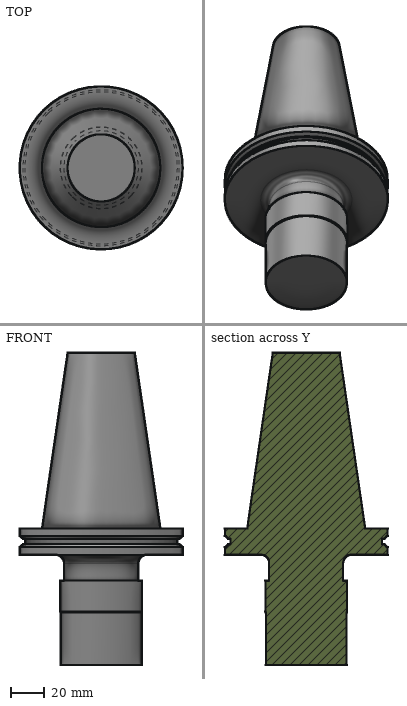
import cadquery as cq
import math

GAUGE_DIAMETER = 69.85
TAPER_RATIO = 7 / 24
TAPER_LENGTH = 101.75

FLANGE_DIAMETER = 97.5
FLANGE_TOP = -3.2
FLANGE_BOTTOM = -19.1
GROOVE_CENTRE = -11.1
GROOVE_MOUTH_WIDTH = 6.8
GROOVE_LEDGE_DIAMETER = 93.3
GROOVE_FLOOR_DIAMETER = 91.0
GROOVE_FLOOR_WIDTH = 3.2

NECK_DIAMETER = 44.5
NECK_FILLET = 5.0
NOSE_TOP = -34.5
NOSE_DIAMETER = 49.0
NOSE_BOTTOM = -85.0

LOWER_NOSE_DIAMETER = 48.6
STEP_TOP = -53.0
STEP_HEIGHT = 0.5


def make_body():
    """Revolve the taper, flange, neck and nose as one profile."""
    gauge_radius = GAUGE_DIAMETER / 2
    tip_radius = gauge_radius - TAPER_RATIO * TAPER_LENGTH / 2
    taper_base_radius = gauge_radius - TAPER_RATIO * FLANGE_TOP / 2
    flange_radius = FLANGE_DIAMETER / 2
    neck_radius = NECK_DIAMETER / 2
    lower_nose_radius = LOWER_NOSE_DIAMETER / 2
    nose_radius = NOSE_DIAMETER / 2
    fillet_centre_radius = neck_radius + NECK_FILLET
    fillet_centre_z = FLANGE_BOTTOM - NECK_FILLET
    fillet_reach = NECK_FILLET * math.sqrt(0.5)
    profile = (
        cq.Workplane("XZ")
        .moveTo(0, TAPER_LENGTH)
        .lineTo(tip_radius, TAPER_LENGTH)
        .lineTo(taper_base_radius, FLANGE_TOP)
        .lineTo(flange_radius, FLANGE_TOP)
        .lineTo(flange_radius, FLANGE_BOTTOM)
        .lineTo(fillet_centre_radius, FLANGE_BOTTOM)
        .threePointArc(
            (fillet_centre_radius - fillet_reach, fillet_centre_z + fillet_reach),
            (neck_radius, fillet_centre_z),
        )
        .lineTo(neck_radius, NOSE_TOP)
        .lineTo(nose_radius, NOSE_TOP)
        .lineTo(nose_radius, STEP_TOP)
        .lineTo(lower_nose_radius, STEP_TOP - STEP_HEIGHT)
        .lineTo(lower_nose_radius, NOSE_BOTTOM)
        .lineTo(0, NOSE_BOTTOM)
        .close()
    )
    return profile.revolve(360, (0, 0), (0, 1))


def make_gripper_groove():
    """Ring that cuts the groove: sloping walls, a flat ledge on each side, then a square floor."""
    mouth_radius = FLANGE_DIAMETER / 2
    ledge_radius = GROOVE_LEDGE_DIAMETER / 2
    floor_radius = GROOVE_FLOOR_DIAMETER / 2
    half_mouth = GROOVE_MOUTH_WIDTH / 2
    half_floor = GROOVE_FLOOR_WIDTH / 2
    profile = (
        cq.Workplane("XZ")
        .moveTo(mouth_radius, GROOVE_CENTRE + half_mouth)
        .lineTo(ledge_radius, GROOVE_CENTRE + half_floor)
        .lineTo(floor_radius, GROOVE_CENTRE + half_floor)
        .lineTo(floor_radius, GROOVE_CENTRE - half_floor)
        .lineTo(ledge_radius, GROOVE_CENTRE - half_floor)
        .lineTo(mouth_radius, GROOVE_CENTRE - half_mouth)
        .close()
    )
    return profile.revolve(360, (0, 0), (0, 1))


result = make_body().cut(make_gripper_groove())